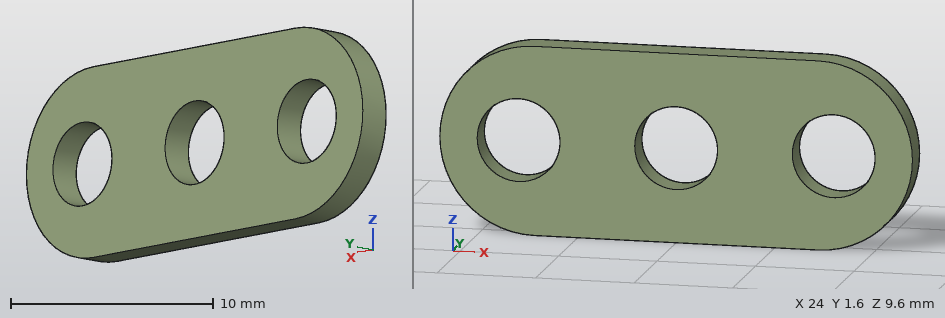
import cadquery as cq

length = 24.0
height = 9.6
thickness = 1.6
hole_diameter = 4.2
hole_count = 3
hole_pitch = length / hole_count

plate = (
    cq.Workplane("XZ", origin=(0, thickness / 2, 0))
    .slot2D(length, height)
    .extrude(thickness)
)

result = (
    plate.faces("<Y")
    .workplane(centerOption="CenterOfBoundBox")
    .rarray(hole_pitch, 0.25, hole_count, 1)
    .hole(hole_diameter)
)